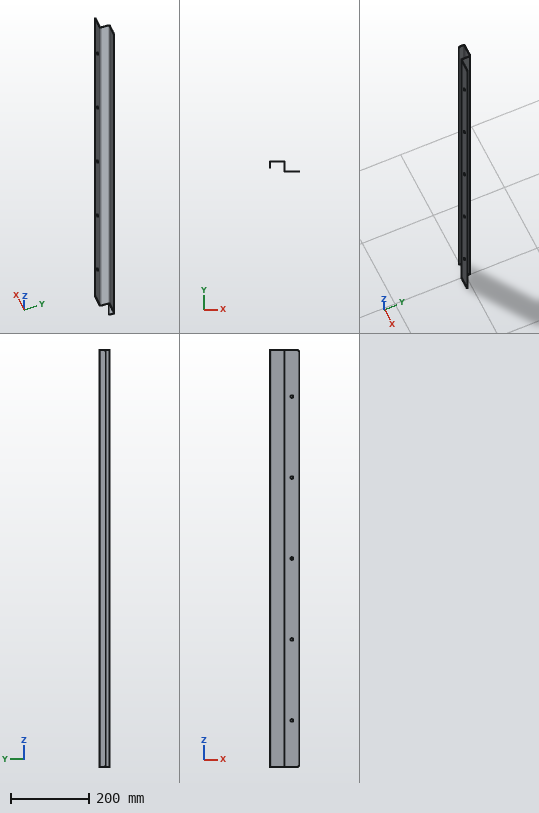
import cadquery as cq

length = 1067.0
width = 76.0
depth = 27.0
thickness = 1.5
lip_depth = 16.0
web_outer_x = 38.0
inner_bend_radius = 1.0
flange_corner_radius = 6.0
lip_corner_radius = 4.0
hole_diameter = 6.0
hole_count = 5
hole_spacing = 207.0
hole_x = 57.0

outer_bend_radius = inner_bend_radius + thickness
web_inner_x = web_outer_x - thickness


def make_bent_sheet():
    """Extrude the lip, raised flange, web and mounting flange along Z."""
    outline = [
        (0, depth - lip_depth),
        (0, depth),
        (web_outer_x, depth),
        (web_outer_x, thickness),
        (width, thickness),
        (width, 0),
        (web_inner_x, 0),
        (web_inner_x, depth - thickness),
        (thickness, depth - thickness),
        (thickness, depth - lip_depth),
    ]
    sheet = cq.Workplane("XY").polyline(outline).close().extrude(length)

    outer_bends = [(0, depth), (web_outer_x, depth), (web_inner_x, 0)]
    inner_bends = [
        (thickness, depth - thickness),
        (web_inner_x, depth - thickness),
        (web_outer_x, thickness),
    ]
    for bends, radius in ((outer_bends, outer_bend_radius), (inner_bends, inner_bend_radius)):
        for x, y in bends:
            bend_edge = cq.selectors.NearestToPointSelector((x, y, length / 2))
            sheet = sheet.edges("|Z").edges(bend_edge).fillet(radius)
    return sheet


def round_free_corners(sheet):
    """Round the end corners of the mounting flange and of the lip."""
    sheet = sheet.faces(">X").edges("|Y").fillet(flange_corner_radius)
    lip_edge = cq.selectors.NearestToPointSelector((thickness / 2, depth - lip_depth, length / 2))
    return sheet.faces(lip_edge).edges("|X").fillet(lip_corner_radius)


def make_hole_cutters():
    """Row of screw holes through the mounting flange, centred along the length."""
    first_z = (length - (hole_count - 1) * hole_spacing) / 2
    centres = [(hole_x, first_z + i * hole_spacing) for i in range(hole_count)]
    return (
        cq.Workplane("XZ", origin=(0, thickness, 0))
        .pushPoints(centres)
        .circle(hole_diameter / 2)
        .extrude(thickness)
    )


result = round_free_corners(make_bent_sheet()).cut(make_hole_cutters())